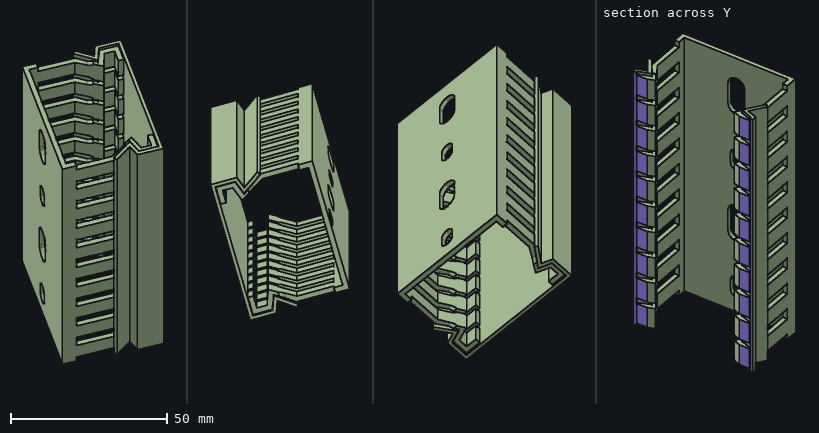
import cadquery as cq
import math

LENGTH = 100.0
OVERALL_WIDTH = 46.6
OVERALL_DEPTH = 33.5
COVER_THICKNESS = 1.3
DUCT_THICKNESS = 1.8

CLEARANCE = 0.1
COVER_HALF_WIDTH = OVERALL_WIDTH / 2
COVER_INNER_X = COVER_HALF_WIDTH - COVER_THICKNESS
COVER_INNER_Y = OVERALL_DEPTH - COVER_THICKNESS

FLARE_ANGLE = math.radians(35.5)
STEP_ANGLE = math.radians(20)
FLARE_RUN = math.tan(FLARE_ANGLE)
STEP_RISE = math.tan(STEP_ANGLE)
KINK_DEPTH = 4.6
KINK_START_Y = 17.46
KINK_X = COVER_INNER_X - KINK_DEPTH
KINK_Y = KINK_START_Y + KINK_DEPTH / FLARE_RUN

WALL_X = COVER_INNER_X - CLEARANCE
FOOT_X = COVER_INNER_X
WALL_INNER_X = WALL_X - DUCT_THICKNESS
DUCT_DEPTH = COVER_INNER_Y - CLEARANCE
LIP_END_X = 16.0
INNER_LEAN_START_Y = 17.0
INNER_TIP_X = 15.25
INNER_TIP_Y = 25.15

SLOT_PITCH = 10.0
SLOT_COUNT = round(LENGTH / SLOT_PITCH) + 1
SLOT_WIDTH = 4.0
SLOT_START_Y = 4.8
SLOT_END_Y = 22.65
SLIT_WIDTH = 2.0

LARGE_HOLE_WIDTH = 6.5
LARGE_HOLE_LENGTH = 14.0
LARGE_HOLE_HEIGHTS = (35.0, 85.0)
SMALL_HOLE_WIDTH = 4.5
SMALL_HOLE_LENGTH = 8.0
SMALL_HOLE_HEIGHTS = (10.0, 60.0)


def mirrored_prism(right_half):
    """Extrude the outline formed by a right-hand chain of points and its mirror image."""
    left_half = [(-x, y) for x, y in reversed(right_half)]
    return cq.Workplane("XY").polyline(right_half + left_half).close().extrude(LENGTH)


def duct_profile():
    lip_bottom_y = DUCT_DEPTH - DUCT_THICKNESS
    lean_start_y = KINK_Y - (WALL_X - KINK_X) / FLARE_RUN
    tip_rise = CLEARANCE / (1 + FLARE_RUN * STEP_RISE)
    outer_tip = (KINK_X - tip_rise * FLARE_RUN, KINK_Y + tip_rise)
    outer_step_end_y = outer_tip[1] + (WALL_X - outer_tip[0]) * STEP_RISE
    inner_step_end_y = INNER_TIP_Y + (WALL_INNER_X - INNER_TIP_X) * STEP_RISE
    return mirrored_prism([
        (FOOT_X, 0),
        (WALL_X, lean_start_y),
        outer_tip,
        (WALL_X, outer_step_end_y),
        (WALL_X, DUCT_DEPTH),
        (LIP_END_X, DUCT_DEPTH),
        (LIP_END_X, lip_bottom_y),
        (WALL_INNER_X, lip_bottom_y),
        (WALL_INNER_X, inner_step_end_y),
        (INNER_TIP_X, INNER_TIP_Y),
        (WALL_INNER_X, INNER_LEAN_START_Y),
        (WALL_INNER_X, DUCT_THICKNESS),
    ])


def comb_slot(height):
    """Cutter across both walls: a round-ended slot with a narrow slit running on from it."""
    half_width = SLOT_WIDTH / 2
    round_start_y = SLOT_END_Y - half_width
    slot = (
        cq.Workplane("YZ")
        .moveTo(SLOT_START_Y, -half_width)
        .lineTo(round_start_y, -half_width)
        .threePointArc((SLOT_END_Y, 0), (round_start_y, half_width))
        .lineTo(SLOT_START_Y, half_width)
        .close()
        .extrude(COVER_HALF_WIDTH, both=True)
    )
    slit = (
        cq.Workplane("XY")
        .box(OVERALL_WIDTH, DUCT_DEPTH - SLOT_START_Y, SLIT_WIDTH, centered=(True, False, True))
        .translate((0, SLOT_START_Y, 0))
    )
    return slot.union(slit).translate((0, 0, height))


def floor_hole(width, length, height):
    """Cutter for an upright oblong hole through the floor."""
    return (
        cq.Workplane("XZ")
        .center(0, height)
        .slot2D(length, width, 90)
        .extrude(-DUCT_THICKNESS)
    )


def make_duct():
    duct = duct_profile()
    for i in range(SLOT_COUNT):
        duct = duct.cut(comb_slot(i * SLOT_PITCH))
    for height in LARGE_HOLE_HEIGHTS:
        duct = duct.cut(floor_hole(LARGE_HOLE_WIDTH, LARGE_HOLE_LENGTH, height))
    for height in SMALL_HOLE_HEIGHTS:
        duct = duct.cut(floor_hole(SMALL_HOLE_WIDTH, SMALL_HOLE_LENGTH, height))
    return duct


def make_cover():
    flare_shift = COVER_THICKNESS / math.cos(FLARE_ANGLE)
    step_shift = COVER_THICKNESS / math.cos(STEP_ANGLE)
    neck_drop = (step_shift - flare_shift * STEP_RISE) / (1 + FLARE_RUN * STEP_RISE)
    neck_x = KINK_X + flare_shift + neck_drop * FLARE_RUN
    neck_y = KINK_Y - neck_drop
    inner_step_end_y = KINK_Y + KINK_DEPTH * STEP_RISE
    outer_step_end_y = neck_y + (COVER_HALF_WIDTH - neck_x) * STEP_RISE
    flare_end_y = neck_y - (COVER_HALF_WIDTH - neck_x) / FLARE_RUN
    flare_inner_x = COVER_HALF_WIDTH - COVER_THICKNESS * math.cos(FLARE_ANGLE)
    flare_inner_y = flare_end_y - COVER_THICKNESS * math.sin(FLARE_ANGLE)
    return mirrored_prism([
        (COVER_HALF_WIDTH, OVERALL_DEPTH),
        (COVER_HALF_WIDTH, outer_step_end_y),
        (neck_x, neck_y),
        (COVER_HALF_WIDTH, flare_end_y),
        (flare_inner_x, flare_inner_y),
        (KINK_X, KINK_Y),
        (COVER_INNER_X, inner_step_end_y),
        (COVER_INNER_X, COVER_INNER_Y),
    ])


duct = make_duct()
cover = make_cover()

result = cq.Compound.makeCompound([duct.val(), cover.val()])